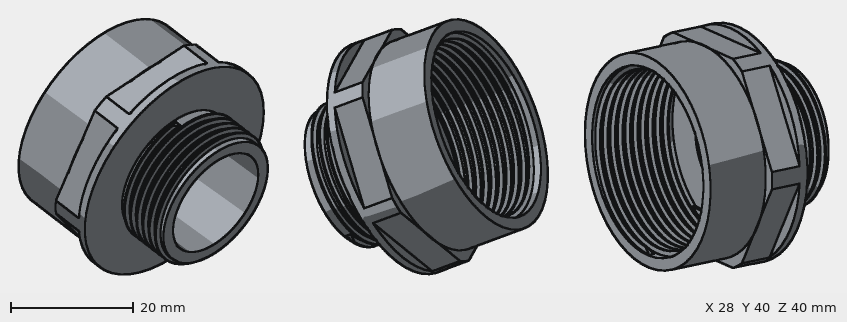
import cadquery as cq
import math

total_length = 28.0
socket_length = 11.0
flange_start = 16.5
flange_end = 18.0

flange_diameter = 39.95
socket_diameter = 36.27
hex_across_flats = 36.0
neck_diameter = 23.35
through_bore_diameter = 19.0
socket_bore_diameter = 32.1
socket_bore_depth = 16.0

ridge_base = 0.95
ridge_crest = 0.25
root_overlap = 0.1
run_out_length = 1.6
cutter_margin = 0.4
neck_ridge_height = 0.7
neck_thread_start = 18.98
neck_thread_length = 8.23
neck_thread_turns = 5.5
thread_pitch = neck_thread_length / neck_thread_turns
socket_ridge_height = 0.8
socket_thread_start = 0.75
socket_thread_turns = 10.1


def rod(diameter, start, end):
    """Solid cylinder on the X axis between two X positions."""
    return cq.Workplane("YZ").workplane(offset=start).circle(diameter / 2).extrude(end - start)


def run_out_cutter(root_radius, crest_radius, outward):
    """Block whose flat slanted side ramps a ridge up from root to crest, at the ridge start on +X."""
    angle = run_out_length / crest_radius
    clear_radius = crest_radius + outward * cutter_margin
    return (
        cq.Workplane("XY")
        .polyline([
            (root_radius, -cutter_margin),
            (root_radius, 0),
            (crest_radius * math.cos(angle), crest_radius * math.sin(angle)),
            (clear_radius * math.cos(angle), clear_radius * math.sin(angle)),
            (clear_radius, -cutter_margin),
        ])
        .close()
        .extrude(ridge_base / 2 + root_overlap, both=True)
    )


def thread_ridge(root_diameter, ridge_height, turns):
    """Helical ridge along Z starting at +X; a negative height points it inward."""
    root_radius = root_diameter / 2
    outward = 1 if ridge_height > 0 else -1
    embedded_radius = root_radius - outward * root_overlap
    crest_radius = root_radius + ridge_height
    path = cq.Wire.makeHelix(thread_pitch, turns * thread_pitch, root_radius)
    flank_run = (ridge_base - ridge_crest) / 2 * root_overlap / abs(ridge_height)
    embedded_half = ridge_base / 2 + flank_run
    profile = cq.Workplane("XZ").polyline([
        (embedded_radius, -embedded_half),
        (crest_radius, -ridge_crest / 2),
        (crest_radius, ridge_crest / 2),
        (embedded_radius, embedded_half),
    ]).close()
    ridge = profile.sweep(cq.Workplane(path), isFrenet=True)

    start_cutter = run_out_cutter(root_radius, crest_radius, outward)
    end_cutter = (
        start_cutter.mirror("XZ")
        .rotate((0, 0, 0), (0, 0, 1), turns * 360)
        .translate((0, 0, turns * thread_pitch))
    )
    return ridge.cut(start_cutter).cut(end_cutter)


def along_x(ridge, start):
    """Lay a Z-axis ridge along X, so that it starts at the -Z side."""
    return ridge.rotate((0, 0, 0), (0, 1, 0), 90).translate((start, 0, 0))


def hex_collar():
    """Hexagon with flats facing +Z and -Z, its corners rounded to the flange diameter."""
    collar = rod(flange_diameter, socket_length, flange_start)
    hexagon = (
        cq.Workplane("YZ")
        .workplane(offset=socket_length)
        .polygon(6, hex_across_flats / 3 ** 0.5 * 2)
        .extrude(flange_start - socket_length)
    )
    return collar.intersect(hexagon)


body = (
    rod(socket_diameter, 0, socket_length)
    .union(hex_collar())
    .union(rod(flange_diameter, flange_start, flange_end))
    .union(rod(neck_diameter, flange_end, total_length))
    .cut(rod(socket_bore_diameter, 0, socket_bore_depth))
    .cut(rod(through_bore_diameter, 0, total_length))
)

socket_thread = along_x(
    thread_ridge(socket_bore_diameter, -socket_ridge_height, socket_thread_turns), socket_thread_start
)

neck_thread = along_x(
    thread_ridge(neck_diameter, neck_ridge_height, neck_thread_turns), neck_thread_start
).rotate((0, 0, 0), (1, 0, 0), 180)

result = body.union(socket_thread).union(neck_thread)